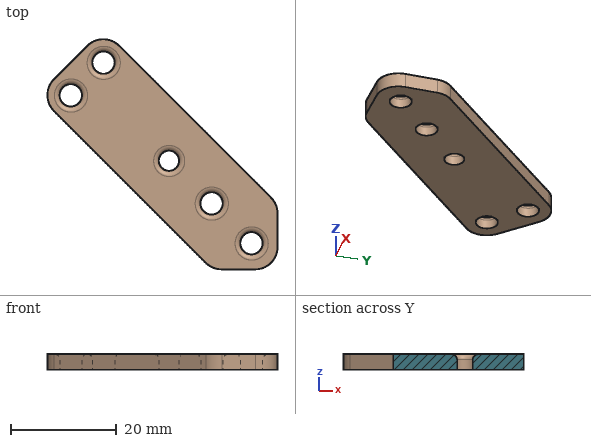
import cadquery as cq
import math

side = 43.55
thickness = 3.0
corner_radius = 4.25
end_round_gap = 6.3
end_hole_inset = 4.45
end_hole_gap = 6.2
hole_diameter = 4.2
small_hole_diameter = 3.8
hole_lip_radius = 1.05

small_hole_place = 1.2
middle_hole_place = 9.27
tip_hole_place = 16.8

half = side / 2
hole_far = half - end_hole_inset
hole_near = hole_far - end_hole_gap
end_holes = [(-hole_near, hole_far), (-hole_far, hole_near)]

end_far = half - corner_radius
end_near = end_far - end_round_gap

corner_reach = corner_radius * math.sqrt(2)
edge_offset = end_round_gap + corner_reach
shoulder = half - edge_offset
outline = [
    (-end_near, end_far + corner_reach),
    (half, -shoulder),
    (half, -half),
    (shoulder, -half),
    (-end_far - corner_reach, end_near),
]


def rounded_hole(center, diameter):
    """Through-hole cutter that flares at the top with a convex quarter round."""
    radius = diameter / 2
    lip_start = thickness - hole_lip_radius
    lip_middle = hole_lip_radius * math.sqrt(0.5)
    profile = (
        cq.Workplane("XZ")
        .lineTo(radius, 0)
        .lineTo(radius, lip_start)
        .threePointArc(
            (radius + hole_lip_radius - lip_middle, lip_start + lip_middle),
            (radius + hole_lip_radius, thickness),
        )
        .lineTo(0, thickness)
        .close()
    )
    cutter = profile.revolve(360, (0, 0, 0), (0, 1, 0))
    return cutter.translate((center[0], center[1], 0))


plate = cq.Workplane("XY").polyline(outline).close().extrude(thickness)
result = plate.edges("|Z").fillet(corner_radius)

large_holes = end_holes + [(place, -place) for place in (middle_hole_place, tip_hole_place)]
for center in large_holes:
    result = result.cut(rounded_hole(center, hole_diameter))
result = result.cut(rounded_hole((small_hole_place, -small_hole_place), small_hole_diameter))